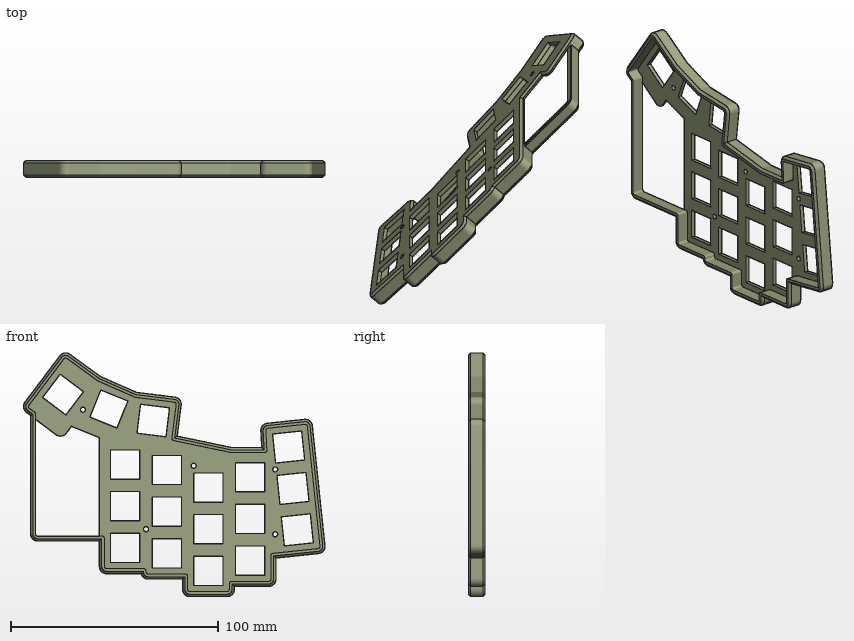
import cadquery as cq
import math


case_depth = 8.1
plate_thickness = 2.0
wall = 2.5
inner_radius = 1.09
outer_chamfer = 1.2
bay_chamfer = 0.5
back_y = case_depth / 2
plate_front_y = back_y - plate_thickness

pitch = 20.1
half = pitch / 2
big_half_height = 1.5 * half
cutout = 14.0

first_column_x = -23.7
column_z = [-15.1, -17.7, -26.2, -21.2]
rows = (-1, 0, 1)

outer_middle_key = (57.2, -6.5, 6)
thumb_keys = [(-53.7, 38.7, -37), (-31.5, 31.7, -22), (-10.2, 26.2, -7)]
thumb_edge_drop = 12.1

hole_diameter = 2.3
hole_centres = [(-44.1, 31.4), (9.3, 4.4), (48.6, 2.6), (-13.7, -26.2), (48.6, -28.7)]

bay_left = -66.9
bay_bottom = -29.5

thumb_bends = [(-36.8, 45.2), (-18.9, 37.4)]
upper_edge = [(-1.3, 16.7), (27.2, 10.8), (44.7, 10.8)]


def from_key(key, across, up):
    """Point at a distance across and up from a key's centre, along the key's own tilted axes."""
    x, z, tilt = key
    cosine = math.cos(math.radians(tilt))
    sine = math.sin(math.radians(tilt))
    return (x + across * cosine - up * sine, z + across * sine + up * cosine)


def crossing(point_1, angle_1, point_2, angle_2):
    """Crossing of two lines, each given by a point and a direction in degrees."""
    cos_1, sin_1 = math.cos(math.radians(angle_1)), math.sin(math.radians(angle_1))
    cos_2, sin_2 = math.cos(math.radians(angle_2)), math.sin(math.radians(angle_2))
    dx = point_2[0] - point_1[0]
    dz = point_2[1] - point_1[1]
    along = (dx * sin_2 - dz * cos_2) / (cos_1 * sin_2 - sin_1 * cos_2)
    return (point_1[0] + along * cos_1, point_1[1] + along * sin_1)


columns = [(first_column_x + i * pitch, z) for i, z in enumerate(column_z)]
straight_keys = [(x, z + row * pitch, 0) for x, z in columns for row in rows]
outer_tilt = outer_middle_key[2]
outer_keys = [(*from_key(outer_middle_key, 0, row * pitch), outer_tilt) for row in rows]
keys = straight_keys + outer_keys + thumb_keys

big_thumb, middle_thumb, inner_thumb = thumb_keys
big_tilt = big_thumb[2]
big_low_left = from_key(big_thumb, -half, -big_half_height)
big_low_right = from_key(big_thumb, half, -big_half_height)
thumb_edge = from_key(middle_thumb, 0, -thumb_edge_drop)
outer_low_right = from_key(outer_keys[0], half, -half)
columns_left = columns[0][0] - half
columns_right = columns[-1][0] + half

shared_outline = [
    big_low_left,
    from_key(big_thumb, -half, big_half_height),
    *thumb_bends,
    from_key(inner_thumb, half, half),
    *upper_edge,
    from_key(outer_keys[-1], -half, half),
    from_key(outer_keys[-1], half, half),
    outer_low_right,
    crossing(outer_low_right, outer_tilt, (columns_right, 0), 90),
]
for column_x, middle_z in reversed(columns):
    column_bottom = middle_z - pitch - half
    shared_outline += [(column_x + half, column_bottom), (column_x - half, column_bottom)]

cavity_outline = shared_outline + [
    (columns_left, bay_bottom),
    (bay_left, bay_bottom),
    crossing((bay_left, 0), 90, big_low_left, big_tilt),
]
plate_outline = shared_outline + [
    crossing((columns_left, 0), 90, thumb_edge, middle_thumb[2]),
    crossing(thumb_edge, middle_thumb[2], big_low_right, big_tilt + 90),
    big_low_right,
]


def block(outline, start_y, depth, margin=0):
    """Block over a round-cornered outline grown by margin, from start_y towards the front."""
    prism = cq.Workplane("XZ").polyline(outline).close().extrude(depth)
    wire = prism.edges("|Y").fillet(inner_radius).faces(">Y").wires().val()
    if margin:
        wire = wire.offset2D(margin, "arc")[0]
    solid = cq.Solid.extrudeLinear(wire, [], cq.Vector(0, -depth, 0))
    return cq.Workplane(solid.translate(cq.Vector(0, start_y, 0)))


def through_cut(sketch):
    """Extrude a sketch on the XZ plane so that it passes right through the case."""
    return sketch.extrude(case_depth, both=True)


def key_opening(key):
    """Square switch opening, turned with its key."""
    x, z, tilt = key
    opening = through_cut(cq.Workplane("XZ").rect(cutout, cutout))
    return opening.rotate((0, 0, 0), (0, -1, 0), tilt).translate((x, 0, z))


rim = block(cavity_outline, plate_front_y, case_depth - plate_thickness, wall)
rim = rim.faces("<Y").edges().chamfer(outer_chamfer)
rim = rim.faces(">Y").edges().chamfer(bay_chamfer)

plate = block(plate_outline, back_y, plate_thickness + bay_chamfer, wall)
plate = plate.faces(">Y").edges().chamfer(outer_chamfer)

cavity = block(cavity_outline, plate_front_y, case_depth)
result = rim.union(plate).cut(cavity)

for key in keys:
    result = result.cut(key_opening(key))
result = result.cut(through_cut(cq.Workplane("XZ").pushPoints(hole_centres).circle(hole_diameter / 2)))